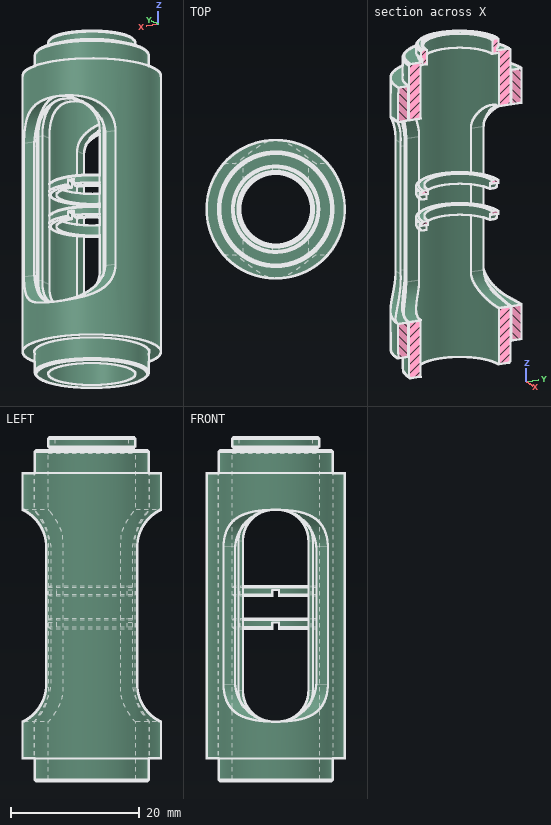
import cadquery as cq

TOTAL_LENGTH = 53.59
TUBE_DIAMETER = 17.78
TUBE_LENGTH = 51.56
NECK_THREAD_DIAMETER = 13.59
TUBE_BORE = NECK_THREAD_DIAMETER
NECK_GROOVE_DIAMETER = 13.08
NECK_GROOVE_HEIGHT = 0.36
NECK_BORE = 11.43
NECK_BORE_DEPTH = 2.54
CHAMFER = 0.25

SLEEVE_DIAMETER = 21.59
SLEEVE_BOTTOM = 3.56
SLEEVE_LENGTH = 44.45
SLEEVE_BORE = 17.93

WINDOW_LENGTH = 33.02
TUBE_WINDOW_WIDTH = 10.16
TUBE_WINDOW_CORNER = 4.75
SLEEVE_WINDOW_WIDTH = 12.7
RELIEF_END_RADIUS = 6.35
SLEEVE_FLAT_OFFSET = 7.11
SLEEVE_FLAT_LENGTH = 21.5
TUBE_FLAT_OFFSET = 6.75
TUBE_FLAT_LENGTH = 23.22

RING_DIAMETER = TUBE_BORE
RING_BORE = 11.05
RING_THICKNESS = 1.63
RING_BEVEL_WIDTH = 0.38
RING_BEVEL_HEIGHT = 0.25
RING_BOTTOMS = (23.74, 28.82)
SPANNER_SLOT_WIDTH = 1.02
SPANNER_SLOT_DEPTH = 0.95

MID_HEIGHT = SLEEVE_BOTTOM + SLEEVE_LENGTH / 2


def cylinder(diameter, bottom, top):
    """Solid cylinder on the Z axis."""
    return cq.Workplane("XY").workplane(offset=bottom).circle(diameter / 2).extrude(top - bottom)


def tube_window():
    """Window with rounded corners, running right through along Y."""
    return (
        cq.Workplane("XZ", origin=(0, 0, MID_HEIGHT))
        .rect(TUBE_WINDOW_WIDTH, WINDOW_LENGTH)
        .extrude(SLEEVE_DIAMETER, both=True)
        .edges("|Y")
        .fillet(TUBE_WINDOW_CORNER)
    )


def sleeve_window():
    """Window with fully round ends, running right through along Y."""
    return (
        cq.Workplane("XZ", origin=(0, 0, MID_HEIGHT))
        .slot2D(WINDOW_LENGTH, SLEEVE_WINDOW_WIDTH, 90)
        .extrude(SLEEVE_DIAMETER, both=True)
    )


def flat_reliefs(flat_offset, flat_length):
    """Two round-ended cuts along X that leave flats at Y = -flat_offset and +flat_offset."""
    centre_distance = flat_offset + RELIEF_END_RADIUS
    return (
        cq.Workplane("YZ", origin=(0, 0, MID_HEIGHT))
        .pushPoints([(-centre_distance, 0), (centre_distance, 0)])
        .slot2D(flat_length + 2 * RELIEF_END_RADIUS, 2 * RELIEF_END_RADIUS, 90)
        .extrude(SLEEVE_DIAMETER, both=True)
    )


def make_tube():
    """Windowed tube with a grooved, threaded-size neck on top."""
    barrel = cylinder(TUBE_DIAMETER, 0, TUBE_LENGTH).edges("%CIRCLE").chamfer(CHAMFER)
    groove_top = TUBE_LENGTH + NECK_GROOVE_HEIGHT
    groove = cylinder(NECK_GROOVE_DIAMETER, TUBE_LENGTH, groove_top)
    thread = cylinder(NECK_THREAD_DIAMETER, groove_top, TOTAL_LENGTH)
    thread = thread.edges("%CIRCLE").chamfer(CHAMFER)
    body = barrel.union(groove).union(thread)

    neck_bore_bottom = TOTAL_LENGTH - NECK_BORE_DEPTH
    body = body.cut(cylinder(NECK_BORE, 0, TOTAL_LENGTH))
    body = body.faces(">Z").edges(cq.selectors.RadiusNthSelector(0)).chamfer(CHAMFER)
    body = body.cut(cylinder(TUBE_BORE, 0, neck_bore_bottom))
    body = body.cut(tube_window())
    return body.cut(flat_reliefs(TUBE_FLAT_OFFSET, TUBE_FLAT_LENGTH))


def make_sleeve():
    """Plain cover sleeve with a wider window than the tube."""
    top = SLEEVE_BOTTOM + SLEEVE_LENGTH
    body = cylinder(SLEEVE_DIAMETER, SLEEVE_BOTTOM, top)
    body = body.cut(cylinder(SLEEVE_BORE, SLEEVE_BOTTOM, top))
    body = body.cut(sleeve_window())
    return body.cut(flat_reliefs(SLEEVE_FLAT_OFFSET, SLEEVE_FLAT_LENGTH))


def make_ring(bottom):
    """Retaining ring with bevelled rims and a spanner slot across its underside along Y."""
    top = bottom + RING_THICKNESS
    inner_radius = RING_BORE / 2
    outer_radius = RING_DIAMETER / 2
    rim_radius = outer_radius - RING_BEVEL_WIDTH
    section = [
        (inner_radius, bottom),
        (rim_radius, bottom),
        (outer_radius, bottom + RING_BEVEL_HEIGHT),
        (outer_radius, top - RING_BEVEL_HEIGHT),
        (rim_radius, top),
        (inner_radius, top),
    ]
    body = cq.Workplane("XZ").polyline(section).close().revolve(360, (0, 0), (0, 1))
    spanner_slot = (
        cq.Workplane("XY", origin=(0, 0, bottom))
        .rect(SPANNER_SLOT_WIDTH, 2 * RING_DIAMETER)
        .extrude(SPANNER_SLOT_DEPTH)
    )
    return body.cut(spanner_slot)


tube = make_tube()
sleeve = make_sleeve()
rings = [make_ring(bottom) for bottom in RING_BOTTOMS]

result = cq.Compound.makeCompound([tube.val(), sleeve.val(), *[ring.val() for ring in rings]])